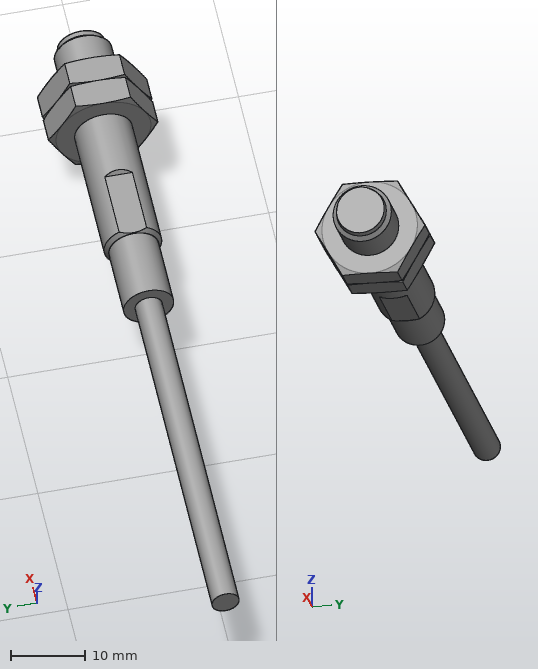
import cadquery as cq
import math

total_length = 95.85
cable_end = 51.0
body_start = 60.9
nut_start = 80.9

cable_dia = 3.7
sleeve_dia = 6.9
barrel_dia = 8.0
rear_chamfer = 0.6
front_chamfer = 0.6
nose_start_dia = barrel_dia - 2 * front_chamfer
nose_end_dia = 6.5
nose_length = 0.9
nose_start = total_length - nose_length

flat_distance = 7.0
flat_end = 70.9
ramp_rise = 1.0

nut_width = 13.0
nut_thickness = 3.9
nut_count = 2
corner_chamfer_angle = 15.0
nut_corner_dia = nut_width / math.cos(math.pi / 6)


def make_sensor():
    """Cable, sleeve, barrel and nose turned as one solid, with two wrench flats."""
    cable_r = cable_dia / 2
    sleeve_r = sleeve_dia / 2
    barrel_r = barrel_dia / 2
    profile = [
        (0, 0),
        (0, cable_r),
        (cable_end, cable_r),
        (cable_end, sleeve_r),
        (body_start, sleeve_r),
        (body_start, barrel_r - rear_chamfer),
        (body_start + rear_chamfer, barrel_r),
        (nose_start - front_chamfer, barrel_r),
        (nose_start, nose_start_dia / 2),
        (total_length, nose_end_dia / 2),
        (total_length, 0),
    ]
    turned = cq.Workplane("XY").polyline(profile).close().revolve(360, (0, 0, 0), (1, 0, 0))
    flat = make_flat_cutter()
    return turned.cut(flat).cut(flat.mirror("XY"))


def make_flat_cutter():
    """Block above the upper wrench flat, with a sloping front end."""
    floor = flat_distance / 2
    outline = [
        (body_start, floor),
        (flat_end, floor),
        (flat_end + ramp_rise, floor + ramp_rise),
        (body_start, floor + ramp_rise),
    ]
    return cq.Workplane("XZ").polyline(outline).close().extrude(barrel_dia / 2, both=True)


def make_nut(start):
    """Hex nut with flats up and down and its corners chamfered at both ends."""
    hexagon = cq.Workplane("YZ").polygon(6, nut_corner_dia).extrude(nut_thickness)
    flat_r = nut_width / 2
    corner_r = nut_corner_dia / 2
    chamfer_depth = (corner_r - flat_r) * math.tan(math.radians(corner_chamfer_angle))
    envelope_profile = [
        (0, 0),
        (0, flat_r),
        (chamfer_depth, corner_r),
        (nut_thickness - chamfer_depth, corner_r),
        (nut_thickness, flat_r),
        (nut_thickness, 0),
    ]
    envelope = cq.Workplane("XY").polyline(envelope_profile).close().revolve(360, (0, 0, 0), (1, 0, 0))
    bore = cq.Workplane("YZ").circle(barrel_dia / 2).extrude(nut_thickness)
    return hexagon.intersect(envelope).cut(bore).translate((start, 0, 0))


sensor = make_sensor()
nuts = [make_nut(nut_start + index * nut_thickness) for index in range(nut_count)]

result = cq.Compound.makeCompound([sensor.val(), *[nut.val() for nut in nuts]])